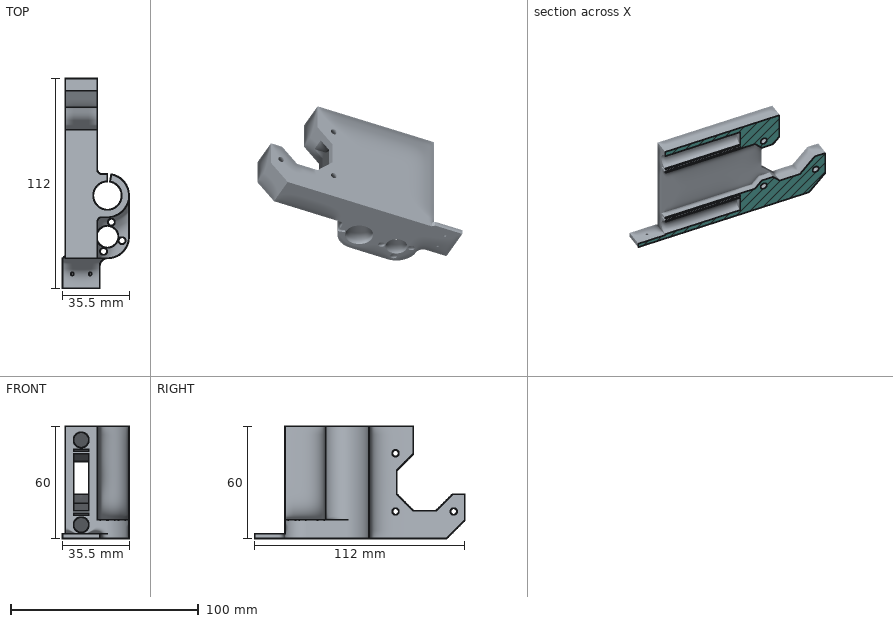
import cadquery as cq
import math

HEIGHT = 60.0
LENGTH = 112.0
MID_Z = HEIGHT / 2

BODY_LEFT = 1.3
BODY_RIGHT = 18.6
BODY_WIDTH = BODY_RIGHT - BODY_LEFT
BODY_FRONT = 16.0
BODY_BACK = 84.6
CORNER_FILLET = 2.4

NOTCH_Y = 75.7
NOTCH_HALF_HEIGHT = 6.3
NOTCH_CHAMFER = BODY_BACK - NOTCH_Y
NOTCH_BOTTOM = MID_Z - NOTCH_HALF_HEIGHT - NOTCH_CHAMFER
NOTCH_TOP = MID_Z + NOTCH_HALF_HEIGHT + NOTCH_CHAMFER
HOOK_TOP = MID_Z - NOTCH_HALF_HEIGHT
HOOK_TIP_LENGTH = 6.5
HOOK_CHAMFER = 9.9

SCREW_DIAMETER = 3.4
SCREW_SPACING = 31.0
SCREW_Y = 75.0
SCREW_LOW_Z = MID_Z - SCREW_SPACING / 2

WINDOW_X = 10.0
WINDOW_WIDTH = 7.8
WINDOW_HALF_HEIGHT = 15.2
WINDOW_TAPER = 4.1
WINDOW_TAPER_END = 73.9
BORE_DIAMETER = 8.2
BORE_OFFSET = 22.6
SLIT_HEIGHT = 1.0
SLIT_OFFSET = 17.0
BLIND_DEPTH = 44.8

CLAMP_X = 24.0
CLAMP_Y = 49.5
CLAMP_RADIUS = 11.5
CLAMP_BORE = 15.0
SPLIT_ANGLE = 10.0
FLANGE_HEIGHT = 10.0
FLANGE_Y = BODY_FRONT + CLAMP_RADIUS
FLANGE_BORE = 11.5
FLANGE_SCREW_DIAMETER = 3.6
FLANGE_SCREW_RADIUS = 8.1
FLANGE_SCREW_ANGLES = (75, -15, -105)

PLATE_WIDTH = 19.9
PLATE_THICKNESS = 2.7
PLATE_FILLET = CLAMP_X - PLATE_WIDTH
PLATE_HOLE_DIAMETER = 1.5
PLATE_HOLE_SPACING = 9.5
PLATE_HOLE_Y = 7.7


def box(x0, x1, y0, y1, z0, z1):
    return cq.Workplane("XY").box(x1 - x0, y1 - y0, z1 - z0, centered=False).translate((x0, y0, z0))


def upright_cylinder(x, y, diameter, height):
    return cq.Workplane("XY").center(x, y).circle(diameter / 2).extrude(height)


def make_body():
    profile = [
        (BODY_FRONT, 0),
        (LENGTH - HOOK_CHAMFER, 0),
        (LENGTH, HOOK_CHAMFER),
        (LENGTH, HOOK_TOP),
        (LENGTH - HOOK_TIP_LENGTH, HOOK_TOP),
        (LENGTH - HOOK_TIP_LENGTH - NOTCH_CHAMFER, NOTCH_BOTTOM),
        (BODY_BACK, NOTCH_BOTTOM),
        (NOTCH_Y, MID_Z - NOTCH_HALF_HEIGHT),
        (NOTCH_Y, MID_Z + NOTCH_HALF_HEIGHT),
        (BODY_BACK, NOTCH_TOP),
        (BODY_BACK, HEIGHT),
        (BODY_FRONT, HEIGHT),
    ]
    return cq.Workplane("YZ").workplane(offset=BODY_LEFT).polyline(profile).close().extrude(BODY_WIDTH)


def add_clamp(part):
    """Full-height rod boss, blended into the side of the body."""
    back = CLAMP_Y + CLAMP_RADIUS
    front = CLAMP_Y - CLAMP_RADIUS
    boss = (
        cq.Workplane("XY")
        .moveTo(BODY_LEFT, front)
        .lineTo(CLAMP_X, front)
        .threePointArc((CLAMP_X + CLAMP_RADIUS, CLAMP_Y), (CLAMP_X, back))
        .lineTo(BODY_LEFT, back)
        .close()
        .extrude(HEIGHT)
    )
    part = part.union(boss)
    tolerance = 0.1
    for y in (front, back):
        corner = cq.selectors.BoxSelector(
            (BODY_RIGHT - tolerance, y - tolerance, 0),
            (BODY_RIGHT + tolerance, y + tolerance, HEIGHT),
        )
        part = part.edges("|Z").edges(corner).fillet(CORNER_FILLET)
    return part


def make_flange():
    """Low flange between the body front and the clamp, rounded at its outer corner."""
    diagonal = CLAMP_RADIUS / math.sqrt(2)
    return (
        cq.Workplane("XY")
        .moveTo(BODY_LEFT, BODY_FRONT)
        .lineTo(CLAMP_X, BODY_FRONT)
        .threePointArc(
            (CLAMP_X + diagonal, FLANGE_Y - diagonal), (CLAMP_X + CLAMP_RADIUS, FLANGE_Y)
        )
        .lineTo(CLAMP_X + CLAMP_RADIUS, CLAMP_Y)
        .lineTo(BODY_LEFT, CLAMP_Y)
        .close()
        .extrude(FLANGE_HEIGHT)
    )


def make_plate():
    """Plate in front of the body, with a 45 degree gusset on one side and a concave fillet on the other."""
    inset = PLATE_FILLET * (1 - 1 / math.sqrt(2))
    return (
        cq.Workplane("XY")
        .lineTo(PLATE_WIDTH, 0)
        .lineTo(PLATE_WIDTH, BODY_FRONT - PLATE_FILLET)
        .threePointArc((PLATE_WIDTH + inset, BODY_FRONT - inset), (CLAMP_X, BODY_FRONT))
        .lineTo(CLAMP_X, BODY_FRONT + BODY_LEFT)
        .lineTo(BODY_LEFT, BODY_FRONT + BODY_LEFT)
        .lineTo(0, BODY_FRONT)
        .close()
        .extrude(PLATE_THICKNESS)
    )


def cut_rod_clamp(part):
    """Rod bore and the wedge-shaped split in the back of the clamp."""
    part = part.cut(upright_cylinder(CLAMP_X, CLAMP_Y, CLAMP_BORE, HEIGHT))
    reach = 2 * CLAMP_RADIUS
    spread = reach * math.tan(math.radians(SPLIT_ANGLE))
    wedge = (
        cq.Workplane("XY")
        .polyline([
            (CLAMP_X, CLAMP_Y),
            (CLAMP_X + spread, CLAMP_Y + reach),
            (CLAMP_X, CLAMP_Y + reach),
        ])
        .close()
        .extrude(HEIGHT)
    )
    return part.cut(wedge)


def cut_flange_holes(part):
    part = part.cut(upright_cylinder(CLAMP_X, FLANGE_Y, FLANGE_BORE, FLANGE_HEIGHT))
    for degrees in FLANGE_SCREW_ANGLES:
        angle = math.radians(degrees)
        x = CLAMP_X + FLANGE_SCREW_RADIUS * math.cos(angle)
        y = FLANGE_Y + FLANGE_SCREW_RADIUS * math.sin(angle)
        part = part.cut(upright_cylinder(x, y, FLANGE_SCREW_DIAMETER, FLANGE_HEIGHT))
    return part


def cut_plate_holes(part):
    for side in (-1, 1):
        x = WINDOW_X + side * PLATE_HOLE_SPACING / 2
        part = part.cut(upright_cylinder(x, PLATE_HOLE_Y, PLATE_HOLE_DIAMETER, PLATE_THICKNESS))
    return part


def cut_window(part):
    """Lengthwise window that narrows at 45 degrees before opening into the notch."""
    narrow = WINDOW_HALF_HEIGHT - WINDOW_TAPER
    taper_start = WINDOW_TAPER_END - WINDOW_TAPER
    profile = [
        (BODY_FRONT, MID_Z - WINDOW_HALF_HEIGHT),
        (taper_start, MID_Z - WINDOW_HALF_HEIGHT),
        (WINDOW_TAPER_END, MID_Z - narrow),
        (BODY_BACK, MID_Z - narrow),
        (BODY_BACK, MID_Z + narrow),
        (WINDOW_TAPER_END, MID_Z + narrow),
        (taper_start, MID_Z + WINDOW_HALF_HEIGHT),
        (BODY_FRONT, MID_Z + WINDOW_HALF_HEIGHT),
    ]
    left = WINDOW_X - WINDOW_WIDTH / 2
    window = cq.Workplane("YZ").workplane(offset=left).polyline(profile).close().extrude(WINDOW_WIDTH)
    return part.cut(window)


def cut_bores_and_slits(part):
    left = WINDOW_X - WINDOW_WIDTH / 2
    right = WINDOW_X + WINDOW_WIDTH / 2
    blind_end = BODY_FRONT + BLIND_DEPTH
    for side in (-1, 1):
        bore = (
            cq.Workplane("XZ", origin=(WINDOW_X, BODY_FRONT, MID_Z + side * BORE_OFFSET))
            .circle(BORE_DIAMETER / 2)
            .extrude(-BLIND_DEPTH)
        )
        slit_z = MID_Z + side * SLIT_OFFSET
        slit = box(left, right, BODY_FRONT, blind_end, slit_z - SLIT_HEIGHT / 2, slit_z + SLIT_HEIGHT / 2)
        part = part.cut(bore).cut(slit)
    return part


def cut_cross_holes(part):
    centers = [
        (SCREW_Y, SCREW_LOW_Z),
        (SCREW_Y, SCREW_LOW_Z + SCREW_SPACING),
        (SCREW_Y + SCREW_SPACING, SCREW_LOW_Z),
    ]
    holes = (
        cq.Workplane("YZ")
        .workplane(offset=BODY_LEFT)
        .pushPoints(centers)
        .circle(SCREW_DIAMETER / 2)
        .extrude(BODY_WIDTH)
    )
    return part.cut(holes)


result = add_clamp(make_body())
result = result.union(make_flange()).union(make_plate())
result = cut_rod_clamp(result)
result = cut_flange_holes(result)
result = cut_plate_holes(result)
result = cut_window(result)
result = cut_bores_and_slits(result)
result = cut_cross_holes(result)